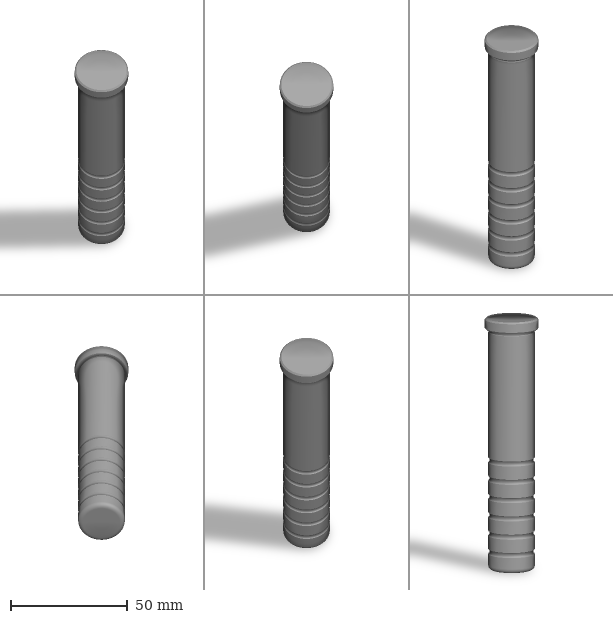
import cadquery as cq

total_length = 110.0
body_radius = 10.0
head_radius = 11.5
head_height = 5.0
head_top_chamfer = 0.7
head_bottom_chamfer = 0.5
tip_fillet = 2.0

neck_radius = 9.7
neck_length = 1.0
neck_taper_length = 0.3

groove_count = 6
top_groove_height = 48.0
groove_pitch = top_groove_height / groove_count
groove_width = 2.2
groove_depth = 0.7

head_bottom = total_length - head_height
body_top = head_bottom - neck_length - neck_taper_length


def make_body():
    """Round shank with a rounded lower end."""
    body = cq.Workplane("XY").circle(body_radius).extrude(body_top)
    return body.faces("<Z").edges().fillet(tip_fillet)


def make_neck():
    """Undercut ring that tapers out to the shank."""
    profile = (
        cq.Workplane("XZ")
        .moveTo(0, body_top)
        .lineTo(body_radius, body_top)
        .lineTo(neck_radius, body_top + neck_taper_length)
        .lineTo(neck_radius, head_bottom)
        .lineTo(0, head_bottom)
        .close()
    )
    return profile.revolve(360, (0, 0, 0), (0, 1, 0))


def make_head():
    """Flanged head, chamfered on both rims."""
    head = cq.Workplane("XY").workplane(offset=head_bottom).circle(head_radius).extrude(head_height)
    head = head.faces(">Z").edges().chamfer(head_top_chamfer)
    return head.faces("<Z").edges().chamfer(head_bottom_chamfer)


def make_groove(center_z):
    """Ring cutter with an arc cross-section around the shank."""
    half_width = groove_width / 2
    profile = (
        cq.Workplane("XZ")
        .moveTo(body_radius, center_z - half_width)
        .threePointArc(
            (body_radius - groove_depth, center_z),
            (body_radius, center_z + half_width),
        )
        .lineTo(head_radius, center_z + half_width)
        .lineTo(head_radius, center_z - half_width)
        .close()
    )
    return profile.revolve(360, (0, 0, 0), (0, 1, 0))


result = make_body().union(make_neck()).union(make_head())
for number in range(1, groove_count + 1):
    result = result.cut(make_groove(number * groove_pitch))